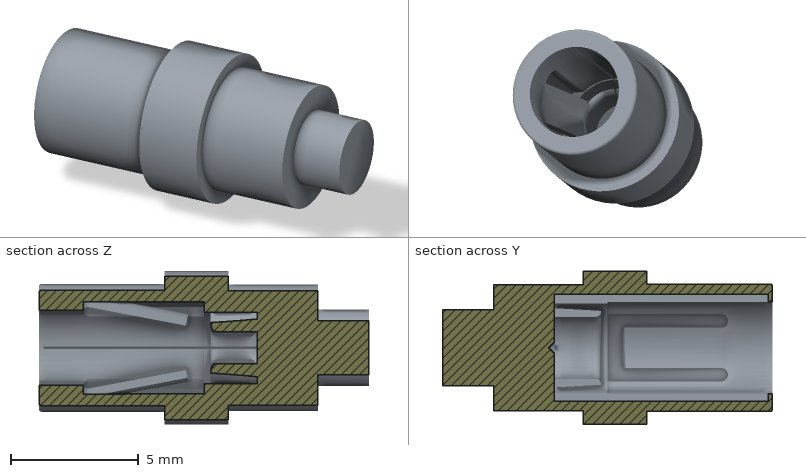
import cadquery as cq
import math


total_length = 12.91
mouth_barrel_length = 4.9
collar_length = 2.5
tail_length = 2.0
rear_barrel_length = total_length - mouth_barrel_length - collar_length - tail_length
barrel_radius = 2.5
rear_barrel_radius = 2.48
collar_radius = 3.01
tail_radius = 1.5
mouth_rounding = 0.1

bore_radius = 1.8
bore_depth = 6.45
chamber_radius = 1.74
chamber_floor = 8.52
lip_length = 0.18
sleeve_outer_radius = 2.08
slit_width = 0.09

tab_bend_start = 1.78
tab_bend_radius = 0.77
tab_half_width = 0.79
tab_tilt = 10.8
tab_length = 3.92
window_half_width = 1.32
relief_radius = (window_half_width - tab_half_width) / 2
relief_middle = tab_half_width + relief_radius
relief_start = 1.74

ring_front = 6.71
ring_tip_radius = 1.45
ring_root_radius = 1.55
ring_inner_radius = 1.21
ring_rounding = 0.2

dimple_radius = 0.22
dimple_depth = dimple_radius


def cylinder(start, length, radius):
    """Round bar along X."""
    return cq.Workplane("YZ", origin=(start, 0, 0)).circle(radius).extrude(length)


def tube(start, length, outer_radius, inner_radius):
    """Hollow round bar along X."""
    return cq.Workplane("YZ", origin=(start, 0, 0)).circle(outer_radius).circle(inner_radius).extrude(length)


def block(start, end, y_low, y_high, half_height):
    """Box centred on Z = 0."""
    size_x = end - start
    size_y = y_high - y_low
    centre = (start + size_x / 2, y_low + size_y / 2, 0)
    return cq.Workplane("XY").box(size_x, size_y, 2 * half_height).translate(centre)


def outer_body():
    """Stepped outer shape with a rounded front edge."""
    collar_start = mouth_barrel_length
    rear_start = collar_start + collar_length
    tail_start = rear_start + rear_barrel_length
    body = cylinder(0, collar_start, barrel_radius).faces("<X").edges().fillet(mouth_rounding)
    body = body.union(cylinder(collar_start, collar_length, collar_radius))
    body = body.union(cylinder(rear_start, rear_barrel_length, rear_barrel_radius))
    return body.union(cylinder(tail_start, tail_length, tail_radius))


def sleeve_slits():
    """Narrow grooves along the top and bottom of the bore."""
    slot = block(lip_length, chamber_floor, -slit_width / 2, slit_width / 2, sleeve_outer_radius)
    return slot.intersect(cylinder(lip_length, chamber_floor - lip_length, sleeve_outer_radius))


def tab_window():
    """Pocket around the +Y tab: an opening behind it and a round-ended relief along each side."""
    relief_centre = relief_start + relief_radius
    opening = block(relief_centre, bore_depth, 0, sleeve_outer_radius, window_half_width)
    for side in (1, -1):
        round_end = (
            cq.Workplane("XZ", origin=(relief_centre, 0, side * relief_middle))
            .circle(relief_radius)
            .extrude(-sleeve_outer_radius)
        )
        opening = opening.union(round_end)
    return opening.intersect(cylinder(0, bore_depth, sleeve_outer_radius))


def spring_tab():
    """The +Y tab: a strip of the sleeve wall that curves inwards and then runs straight."""
    axis_y = bore_radius - tab_bend_radius
    wall = tube(tab_bend_start, tab_length, sleeve_outer_radius, bore_radius)
    tab_end = tab_bend_start + tab_length
    strip = wall.intersect(block(tab_bend_start, tab_end, 0, sleeve_outer_radius, tab_half_width))
    straight = strip.rotate((tab_bend_start, axis_y, 0), (tab_bend_start, axis_y, 1), -tab_tilt)
    root_face = strip.faces("<X").val()
    axis_start = cq.Vector(tab_bend_start, axis_y, 0)
    axis_end = cq.Vector(tab_bend_start, axis_y, -0.13)
    bend = cq.Solid.revolve(root_face, tab_tilt, axis_start, axis_end)
    return straight.union(cq.Workplane(obj=bend))


def contact_ring():
    """Tapered ring with a rounded entry, split by one slit."""
    round_end = ring_inner_radius + ring_rounding
    arc_offset = ring_rounding * (1 - math.sqrt(0.5))
    ring = (
        cq.Workplane("XY")
        .moveTo(chamber_floor, ring_inner_radius)
        .lineTo(ring_front + ring_rounding, ring_inner_radius)
        .threePointArc(
            (ring_front + arc_offset, ring_inner_radius + arc_offset),
            (ring_front, round_end),
        )
        .lineTo(ring_front, ring_tip_radius)
        .lineTo(chamber_floor, ring_root_radius)
        .close()
        .revolve(360, (0, 0, 0), (1, 0, 0))
    )
    slit = block(ring_front, chamber_floor, -slit_width / 2, slit_width / 2, ring_root_radius)
    return ring.cut(slit)


def floor_dimple():
    """Conical recess in the middle of the chamber floor."""
    base_centre = cq.Vector(chamber_floor, 0, 0)
    cone = cq.Solid.makeCone(dimple_radius, 0, dimple_depth, base_centre, cq.Vector(1, 0, 0))
    return cq.Workplane(obj=cone)


result = outer_body()
result = result.cut(cylinder(0, bore_depth, bore_radius))
result = result.cut(cylinder(bore_depth, chamber_floor - bore_depth, chamber_radius))
result = result.cut(sleeve_slits())
result = result.cut(floor_dimple())
for turn in (0, 180):
    result = result.cut(tab_window().rotate((0, 0, 0), (1, 0, 0), turn))
    result = result.union(spring_tab().rotate((0, 0, 0), (1, 0, 0), turn))
result = result.union(contact_ring())